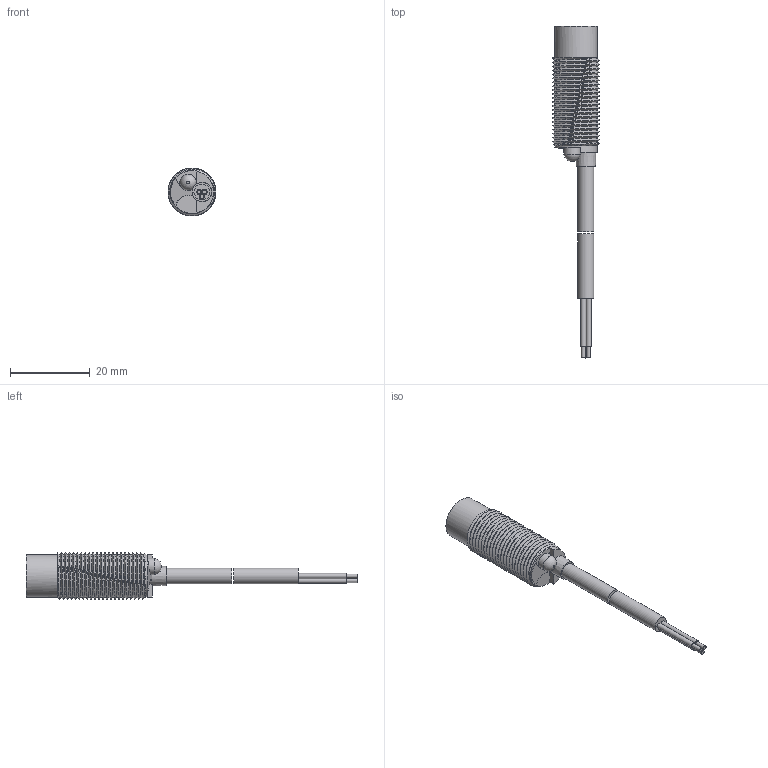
import cadquery as cq
import math


thread_diameter = 12.0
thread_pitch = 1.0
thread_radius = thread_diameter / 2
barrel_radius = 5.4
thread_start_depth = 8.0
barrel_end_depth = 30.5
thread_end_depth = 30.1
thread_root_width = 0.95
thread_inner_radius = 5.25
thread_end_chamfer = 0.6
envelope_clearance = 1.0
thread_phase_depth = 8.62

cap_end_depth = 31.8
cap_step_x = 1.1
lobe_x = -1.0
lobe_z = 3.9
lobe_radius = 3.05

lamp_x = -1.0
lamp_z = 2.4
lamp_radius = 2.05
lamp_dome_depth = 32.2
lamp_dome_height = 1.85
lamp_tip_radius = 0.35

cable_x = 2.5
cable_radius = 2.0
relief_base_radius = 2.5
relief_tip_radius = 2.4
relief_end_depth = 35.3
fixed_cable_end_depth = 51.7

cable_gap = 0.6
sheath_start_depth = fixed_cable_end_depth + cable_gap
sheath_end_depth = 68.5
insulation_end_depth = 80.7
conductor_end_depth = 83.5
insulation_radius = 0.66
conductor_radius = 0.48
wire_spacing = 1.34
wire_row_height = wire_spacing * math.sqrt(3) / 2
wire_positions = [
    (-wire_spacing / 2, 0),
    (wire_spacing / 2, 0),
    (0, -wire_row_height),
]


def section_at(depth):
    """Plane across the sensor at a depth; local x, y are X, Z and extrusion runs toward -Y."""
    return cq.Workplane("XZ", origin=(0, -depth, 0))


def rod(x, z, radius, start_depth, end_depth):
    return section_at(start_depth).center(x, z).circle(radius).extrude(end_depth - start_depth)


def make_thread():
    """Helical ridge, trimmed flat at its start and chamfered at its rear end."""
    turns_before_start = 2
    start = thread_phase_depth - turns_before_start * thread_pitch
    length = thread_end_depth + thread_pitch - start
    helix = cq.Wire.makeHelix(thread_pitch, length, thread_inner_radius)
    ridge = (
        cq.Workplane("XZ")
        .moveTo(thread_inner_radius, -thread_root_width / 2)
        .lineTo(thread_radius, 0)
        .lineTo(thread_inner_radius, thread_root_width / 2)
        .close()
        .sweep(cq.Workplane(helix), isFrenet=True)
        .rotate((0, 0, 0), (1, 0, 0), 90)
        .translate((0, -start, 0))
    )
    envelope = rod(0, 0, thread_radius + envelope_clearance, thread_start_depth, thread_end_depth)
    envelope = envelope.faces("<Y").chamfer(thread_end_chamfer + envelope_clearance)
    return ridge.intersect(envelope, clean=False)


def make_barrel():
    """Barrel whose rear end has a step on the +X side and, left of it, a web between two lobe pockets."""
    barrel = rod(0, 0, barrel_radius, 0, cap_end_depth)
    left_side = (
        section_at(barrel_end_depth)
        .center(cap_step_x - thread_radius, 0)
        .rect(thread_diameter, thread_diameter)
        .extrude(cap_end_depth - barrel_end_depth)
    )
    for side in (1, -1):
        lobe = rod(lobe_x, side * lobe_z, lobe_radius, barrel_end_depth, cap_end_depth)
        barrel = barrel.cut(lobe.intersect(left_side))

    web_slope = (
        cq.Workplane("XY")
        .moveTo(-barrel_radius, -barrel_end_depth)
        .lineTo(cap_step_x, -cap_end_depth)
        .lineTo(-barrel_radius, -cap_end_depth)
        .close()
        .extrude(thread_radius, both=True)
    )
    return barrel.cut(web_slope)


def make_lamp():
    """Cylinder with a spherical dome that ends in a small flat tip."""
    dome_top = -lamp_dome_depth - lamp_dome_height
    sphere_drop = (lamp_radius**2 - lamp_tip_radius**2 - lamp_dome_height**2) / (2 * lamp_dome_height)
    dome_sphere_radius = math.hypot(lamp_radius, sphere_drop)
    return (
        cq.Workplane("XY")
        .moveTo(0, -barrel_end_depth)
        .lineTo(lamp_radius, -barrel_end_depth)
        .lineTo(lamp_radius, -lamp_dome_depth)
        .radiusArc((lamp_tip_radius, dome_top), dome_sphere_radius)
        .lineTo(0, dome_top)
        .close()
        .revolve(360, (0, 0, 0), (0, 1, 0))
        .translate((lamp_x, 0, lamp_z))
    )


def make_relief():
    relief_length = relief_end_depth - barrel_end_depth
    return (
        section_at(barrel_end_depth)
        .center(cable_x, 0)
        .circle(relief_base_radius)
        .workplane(offset=relief_length)
        .circle(relief_tip_radius)
        .loft()
    )


def make_sensor():
    fixed_cable = rod(cable_x, 0, cable_radius, relief_end_depth, fixed_cable_end_depth)
    sensor = make_barrel()
    for feature in (make_thread(), make_relief(), make_lamp(), fixed_cable):
        sensor = sensor.union(feature, clean=False)
    return sensor


def make_cable_end():
    cable_end = rod(cable_x, 0, cable_radius, sheath_start_depth, sheath_end_depth)
    for wire_x, wire_z in wire_positions:
        x = cable_x + wire_x
        insulation = rod(x, wire_z, insulation_radius, sheath_end_depth, insulation_end_depth)
        conductor = rod(x, wire_z, conductor_radius, insulation_end_depth, conductor_end_depth)
        cable_end = cable_end.union(insulation).union(conductor)
    return cable_end


sensor = make_sensor()
cable_end = make_cable_end()
result = cq.Compound.makeCompound([*sensor.vals(), *cable_end.vals()])